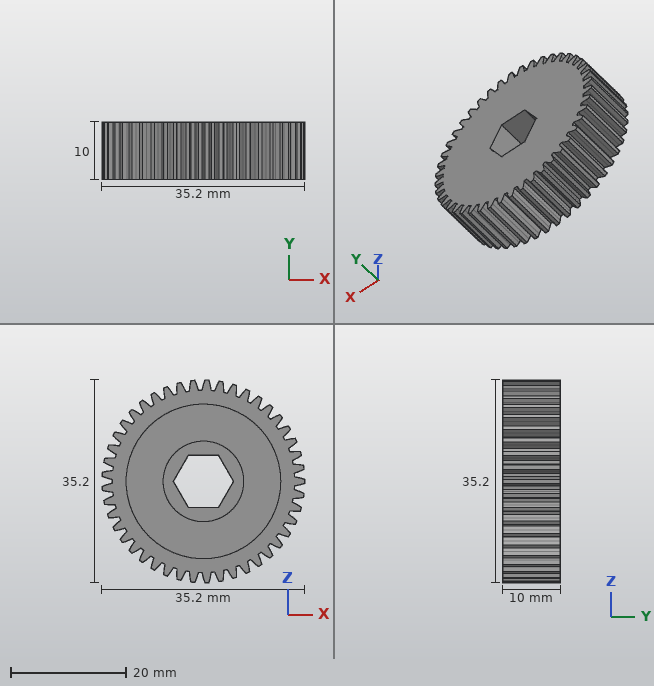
import cadquery as cq
import math

outer_diameter = 35.25
tooth_count = 45
root_diameter = 31.72
tip_width = 0.7
root_gap_width = 0.6
face_width = 10.0

recess_diameter = 26.85
hub_diameter = 14.0
recess_depth = 2.0
bore_sides = 6
bore_across_flats = 9.02

module = outer_diameter / (tooth_count + 2)
tip_radius = outer_diameter / 2
pitch_radius = module * tooth_count / 2
root_radius = root_diameter / 2
tooth_pitch = 2 * math.pi / tooth_count


def polar(radius, angle):
    return (radius * math.cos(angle), radius * math.sin(angle))


def gear_outline():
    """Toothed outline with a tooth centred on +X, made of flat facets.

    Each flank is two facets meeting on the pitch circle.
    """
    root_half = tooth_pitch / 2 - math.asin(root_gap_width / 2 / root_radius)
    pitch_half = tooth_pitch / 4
    tip_half = math.asin(tip_width / 2 / tip_radius)
    tooth_corners = [
        (root_radius, -root_half),
        (pitch_radius, -pitch_half),
        (tip_radius, -tip_half),
        (tip_radius, tip_half),
        (pitch_radius, pitch_half),
        (root_radius, root_half),
    ]
    points = []
    for index in range(tooth_count):
        centre = index * tooth_pitch
        for radius, offset in tooth_corners:
            points.append(polar(radius, centre + offset))
    return cq.Workplane("XZ").polyline(points).close()


gear = gear_outline().extrude(face_width / 2, both=True)

front_plane = cq.Workplane("XZ", origin=(0, -face_width / 2, 0))
recess = (
    front_plane
    .circle(recess_diameter / 2)
    .circle(hub_diameter / 2)
    .extrude(-recess_depth)
)

bore_across_corners = bore_across_flats / math.cos(math.pi / bore_sides)
bore = front_plane.polygon(bore_sides, bore_across_corners).extrude(-face_width)

result = gear.cut(recess).cut(bore)